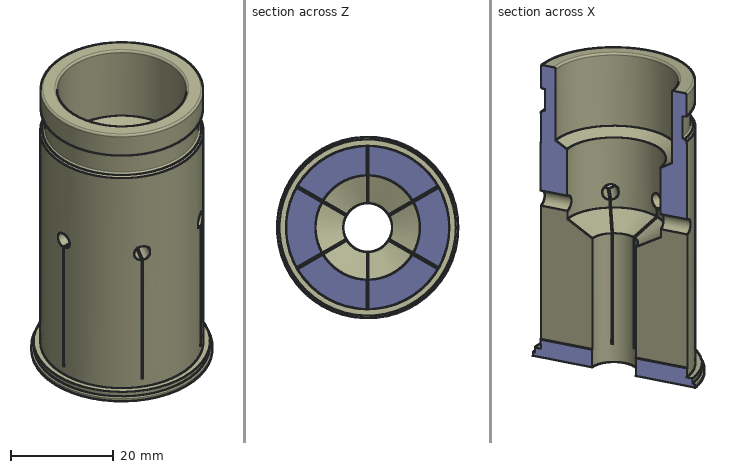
import cadquery as cq

height = 62.5
body_diameter = 32.0
body_top = 52.25
body_chamfer = 0.45
edge_radius = 0.45

flange_diameter = 35.5
flange_step_diameter = 34.5
flange_height = 1.95
flange_rim_height = 0.9
flange_edge_radius = 0.25

head_diameter = 31.9
head_bottom = 57.4
neck_diameter = 30.1
neck_bottom = 53.05
neck_fillet = 0.3

bore_diameter = 25.3
bore_bottom = 47.0
chamber_diameter = 20.4
chamber_top = 45.55
chamber_bottom = 30.6
outlet_diameter = 9.5
outlet_top = 27.5

slit_count = 6
slit_width = 0.3
slit_bottom = 3.9
relief_diameter = 3.25
relief_height = 33.95


def make_outer_body():
    flange_radius = flange_diameter / 2
    step_radius = flange_step_diameter / 2
    body_radius = body_diameter / 2
    neck_radius = neck_diameter / 2
    head_radius = head_diameter / 2
    return (
        cq.Workplane("XZ")
        .lineTo(flange_radius, 0)
        .lineTo(flange_radius, flange_rim_height - flange_edge_radius)
        .radiusArc((flange_radius - flange_edge_radius, flange_rim_height), -flange_edge_radius)
        .lineTo(step_radius, flange_rim_height)
        .lineTo(step_radius, flange_height)
        .lineTo(body_radius, flange_height)
        .lineTo(body_radius, body_top)
        .lineTo(body_radius - body_chamfer, body_top + body_chamfer)
        .lineTo(neck_radius + neck_fillet, neck_bottom - neck_fillet)
        .radiusArc((neck_radius, neck_bottom), neck_fillet)
        .lineTo(neck_radius, head_bottom)
        .lineTo(head_radius - edge_radius, head_bottom)
        .radiusArc((head_radius, head_bottom + edge_radius), -edge_radius)
        .lineTo(head_radius, height - edge_radius)
        .radiusArc((head_radius - edge_radius, height), -edge_radius)
        .lineTo(0, height)
        .close()
        .revolve(360, (0, 0), (0, 1))
    )


def make_interior():
    bore_radius = bore_diameter / 2
    chamber_radius = chamber_diameter / 2
    outlet_radius = outlet_diameter / 2
    return (
        cq.Workplane("XZ")
        .lineTo(outlet_radius, 0)
        .lineTo(outlet_radius, outlet_top)
        .lineTo(chamber_radius, chamber_bottom)
        .lineTo(chamber_radius, chamber_top)
        .lineTo(bore_radius, bore_bottom)
        .lineTo(bore_radius, height - edge_radius)
        .radiusArc((bore_radius + edge_radius, height), edge_radius)
        .lineTo(0, height)
        .close()
        .revolve(360, (0, 0), (0, 1))
    )


def make_relief_slit(angle):
    """One slit and its relief hole, running outward from the axis along -Y, turned about Z."""
    reach = flange_diameter / 2
    slit_height = relief_height - slit_bottom
    slit = cq.Workplane("XY").box(slit_width, reach, slit_height, centered=(True, False, False))
    slit = slit.translate((0, -reach, slit_bottom))
    relief = cq.Workplane("XZ").center(0, relief_height).circle(relief_diameter / 2).extrude(reach)
    return slit.union(relief).rotate((0, 0, 0), (0, 0, 1), angle)


result = make_outer_body().cut(make_interior())
for index in range(slit_count):
    result = result.cut(make_relief_slit(index * 360 / slit_count))